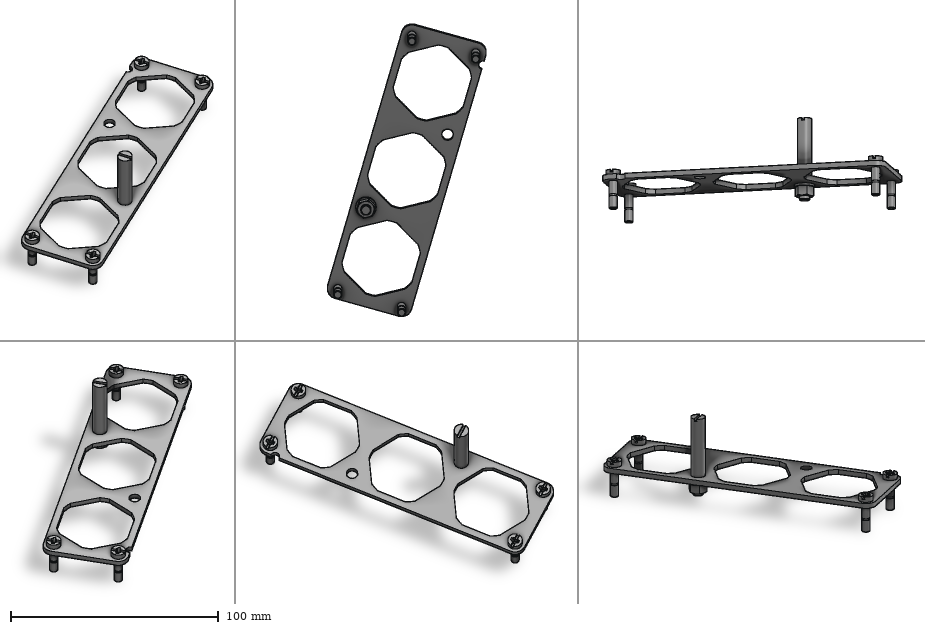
import cadquery as cq
import math

plate_width = 42.0
plate_length = 140.0
plate_thickness = 2.5
corner_radius = 5.0

window_pitch = 45.0
window_flats = 35.0
window_circle = 38.0

notch_radius = 2.1
notch_y = 60.0
hole_diameter = 5.5
side_offset = 14.0
between_windows = window_pitch / 2

head_diameter = 7.0
head_height = 2.7
shank_diameter = 4.0
shank_below_plate = 13.6
shank_chamfer = 0.4
groove_diameter = 3.6
groove_width = 0.8
groove_depth_below_plate = 6.6
recess_span = 4.2
recess_arm_width = 1.3
recess_tip_span = 1.3
recess_core_diameter = 3.1
recess_core_tip_diameter = 1.1
recess_depth = 2.2

slot_width = 1.3
slot_depth = 1.3

post_diameter = 7.0
post_height = 30.0
stud_diameter = 5.0
stud_below_plate = 7.5
stud_chamfer = 0.4
washer_diameter = 10.0
washer_thickness = 1.1
nut_flats = 8.0
nut_height = 4.6
nut_chamfer_angle = 30

hex_corner_ratio = 2 / 3**0.5
plate_bottom = -plate_thickness


def cylinder(diameter, z_bottom, z_top):
    base = cq.Workplane("XY").workplane(offset=z_bottom)
    return base.circle(diameter / 2).extrude(z_top - z_bottom)


def hexagon(flats, z_bottom, z_top):
    """Hexagonal prism with two of its corners on the Y axis."""
    corners = flats * hex_corner_ratio
    prism = cq.Workplane("XY").polygon(6, corners).extrude(z_top - z_bottom)
    return prism.rotate((0, 0, 0), (0, 0, 1), 90).translate((0, 0, z_bottom))


def slot(length, width, depth, z_top):
    """Straight bar along X used to cut a screwdriver slot."""
    bar = cq.Workplane("XY").box(length, width, depth, centered=(True, True, False))
    return bar.translate((0, 0, z_top - depth))


def make_plate():
    plate = cq.Workplane("XY").workplane(offset=plate_bottom)
    plate = plate.rect(plate_width, plate_length).extrude(plate_thickness)
    plate = plate.edges("|Z").fillet(corner_radius)

    window = hexagon(window_flats, plate_bottom, 0)
    window = window.intersect(cylinder(window_circle, plate_bottom, 0))
    for row in (-1, 0, 1):
        plate = plate.cut(window.translate((0, row * window_pitch, 0)))

    notch = cylinder(2 * notch_radius, plate_bottom, 0)
    plate = plate.cut(notch.translate((-plate_width / 2, notch_y, 0)))

    hole = cylinder(hole_diameter, plate_bottom, 0)
    return plate.cut(hole.translate((-side_offset, between_windows, 0)))


def make_cross_recess():
    """Cross-shaped screwdriver recess below Z = 0: two tapered arms and a conical core."""
    arm_outline = [
        (-recess_span / 2, 0),
        (recess_span / 2, 0),
        (recess_tip_span / 2, -recess_depth),
        (-recess_tip_span / 2, -recess_depth),
    ]
    arm = cq.Workplane("XZ").polyline(arm_outline).close().extrude(recess_arm_width / 2, both=True)
    core = cq.Workplane("XY").circle(recess_core_diameter / 2).workplane(offset=-recess_depth)
    core = core.circle(recess_core_tip_diameter / 2).loft()
    return core.union(arm).union(arm.rotate((0, 0, 0), (0, 0, 1), 90))


def make_screw():
    tip = plate_bottom - shank_below_plate
    shank = cylinder(shank_diameter, tip, 0)
    shank = shank.faces("<Z").chamfer(shank_chamfer)

    groove_top = plate_bottom - groove_depth_below_plate
    groove_bottom = groove_top - groove_width
    groove = cylinder(shank_diameter, groove_bottom, groove_top)
    groove = groove.cut(cylinder(groove_diameter, groove_bottom, groove_top))

    head = cylinder(head_diameter, 0, head_height)
    head = head.cut(slot(head_diameter, slot_width, slot_depth, head_height))
    head = head.cut(make_cross_recess().translate((0, 0, head_height)))
    return head.union(shank.cut(groove))


def make_nut(z_top):
    """Hexagon nut whose lower corners are cut back by a shallow cone."""
    z_bottom = z_top - nut_height
    corner_excess = nut_flats * (hex_corner_ratio - 1) / 2
    bevel_height = corner_excess * math.tan(math.radians(nut_chamfer_angle))
    envelope = cylinder(nut_flats * hex_corner_ratio, z_bottom, z_top)
    envelope = envelope.faces("<Z").chamfer(bevel_height, corner_excess)
    return hexagon(nut_flats, z_bottom, z_top).intersect(envelope)


def make_post():
    post = cylinder(post_diameter, 0, post_height)
    post = post.cut(slot(post_diameter, slot_width, slot_depth, post_height))
    stud = cylinder(stud_diameter, plate_bottom - stud_below_plate, 0)
    stud = stud.faces("<Z").chamfer(stud_chamfer)

    washer_bottom = plate_bottom - washer_thickness
    washer = cylinder(washer_diameter, washer_bottom, plate_bottom)
    return post.union(stud).union(washer).union(make_nut(washer_bottom))


result = make_plate().union(make_post().translate((side_offset, -between_windows, 0)))

screw_x = plate_width / 2 - corner_radius
screw_y = plate_length / 2 - corner_radius
screw = make_screw()
for x in (-screw_x, screw_x):
    for y in (-screw_y, screw_y):
        result = result.union(screw.translate((x, y, 0)))